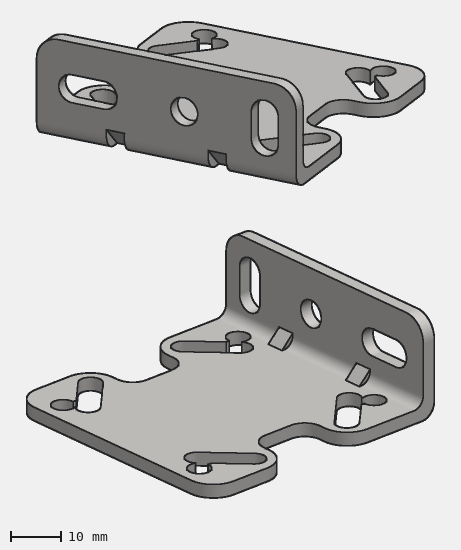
import cadquery as cq
import math

width = 58.0
length = 60.0
height = 22.0
thickness = 3.0

outer_bend_radius = 3.35
inner_bend_radius = 2.5

plate_corner_radius = 6.0
waist_width = 35.0
waist_gap = 15.0
waist_corner_radius = 4.0

hole_diameter = 5.0
hole_spacing_x = 40.0
hole_spacing_y = 47.05
hole_edge_distance = 5.0
slot_setback = 7.0
slot_end_spacing_x = 8.05
slot_angle = 45.0
neck_width = 2.15
neck_offset = 1.25
neck_length = 4.2
pattern_y = length - hole_edge_distance - hole_spacing_y / 2

flange_corner_radius = 5.0
opening_z = 12.0
opening_width = 6.0
round_opening_x = 4.0
wide_slot_x = -17.5
wide_slot_length = 13.0
tall_slot_x = 22.0
tall_slot_length = 12.0

bead_width = 4.0
bead_spacing = 22.75
bead_outer_leg = 4.7
bead_inner_leg = 2.9


def make_angle():
    """L-shaped section with a rounded bend, extruded across the width."""
    section = (
        cq.Workplane("YZ")
        .polyline([
            (0, 0),
            (length, 0),
            (length, thickness),
            (thickness, thickness),
            (thickness, height),
            (0, height),
        ])
        .close()
        .extrude(width / 2, both=True)
    )
    inner_corner = cq.selectors.NearestToPointSelector((0, thickness, thickness))
    outer_corner = cq.selectors.NearestToPointSelector((0, 0, 0))
    rounded = section.edges(inner_corner).fillet(inner_bend_radius)
    return rounded.edges(outer_corner).fillet(outer_bend_radius)


def round_free_corners(body):
    """Round the rear corners of the plate and the upper corners of the flange."""
    body = body.faces(">Y").edges("|Z").fillet(plate_corner_radius)
    return body.faces(">Z").edges("|Y").fillet(flange_corner_radius)


def cut_waist(body):
    """Cut a rounded notch into each long side of the plate and blend its mouth into that side."""
    notch_depth = (width - waist_width) / 2
    for side, inner_face in ((-1, ">X"), (1, "<X")):
        notch = (
            cq.Workplane("XY")
            .center(side * (width - notch_depth) / 2, pattern_y)
            .rect(notch_depth, waist_gap)
            .extrude(thickness)
            .faces(inner_face)
            .edges("|Z")
            .fillet(waist_corner_radius)
        )
        body = body.cut(notch)
        for end in (-1, 1):
            mouth = (side * width / 2, pattern_y + end * waist_gap / 2, thickness / 2)
            mouth_edge = cq.selectors.NearestToPointSelector(mouth)
            body = body.edges("|Z").edges(mouth_edge).fillet(plate_corner_radius)
    return body


def cut_plate_openings(body):
    """Cut a round hole, joined by a short neck to a diagonal slot, at each corner of the plate."""
    slot_length = slot_end_spacing_x / math.cos(math.radians(slot_angle)) + hole_diameter
    for side_x in (-1, 1):
        for side_y in (-1, 1):
            hole_x = side_x * hole_spacing_x / 2
            hole_y = pattern_y + side_y * hole_spacing_y / 2
            hole = (
                cq.Workplane("XY")
                .center(hole_x, hole_y)
                .circle(hole_diameter / 2)
                .extrude(thickness)
            )
            slot = (
                cq.Workplane("XY")
                .center(hole_x, hole_y - side_y * slot_setback)
                .slot2D(slot_length, hole_diameter, -side_x * side_y * slot_angle)
                .extrude(thickness)
            )
            neck = (
                cq.Workplane("XY")
                .center(hole_x - side_x * neck_offset, hole_y - side_y * neck_length / 2)
                .rect(neck_width, neck_length)
                .extrude(thickness)
            )
            body = body.cut(hole).cut(slot).cut(neck)
    return body


def cut_flange_openings(body):
    """Cut the wide slot, the round hole and the tall slot through the flange."""
    flange = cq.Workplane("XZ").workplane(offset=-thickness)
    wide_slot = (
        flange.center(wide_slot_x, opening_z)
        .slot2D(wide_slot_length, opening_width)
        .extrude(thickness)
    )
    round_hole = (
        flange.center(round_opening_x, opening_z)
        .circle(opening_width / 2)
        .extrude(thickness)
    )
    tall_slot = (
        flange.center(tall_slot_x, opening_z)
        .slot2D(tall_slot_length, opening_width, 90)
        .extrude(thickness)
    )
    return body.cut(wide_slot).cut(round_hole).cut(tall_slot)


def bead_prism(centre_x, corner, leg):
    """Right-angled triangular prism with its square corner at Y = Z = corner."""
    return (
        cq.Workplane("YZ", origin=(centre_x, 0, 0))
        .moveTo(corner, corner)
        .lineTo(corner + leg, corner)
        .lineTo(corner, corner + leg)
        .close()
        .extrude(bead_width / 2, both=True)
    )


def form_beads(body):
    """Flatten the bend locally: a groove outside and a matching gusset inside."""
    for centre_x in (-bead_spacing / 2, bead_spacing / 2):
        body = body.union(bead_prism(centre_x, thickness, bead_inner_leg))
        body = body.cut(bead_prism(centre_x, 0, bead_outer_leg))
    return body


bracket = round_free_corners(make_angle())
bracket = cut_waist(bracket)
bracket = cut_plate_openings(bracket)
bracket = cut_flange_openings(bracket)
result = form_beads(bracket)